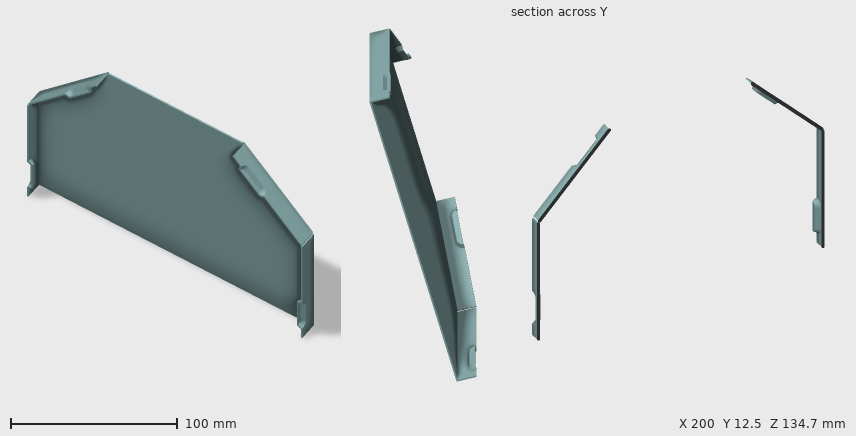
import cadquery as cq
import math

WIDTH = 200.0
HEIGHT = 134.0
DEPTH = 12.5
SHEET = 1.0
CORNER_CUT = 50.0
BEND_ZONE = 2.0

DIMPLE_SPACING = 20.0
DIMPLE_LENGTH = 23.0
DIMPLE_REACH = 4.0
DIMPLE_DEPTH = 3.0
DIMPLE_DRAFT = 30.0

HALF_WIDTH = WIDTH / 2
PANEL_FRONT = DEPTH - SHEET
SIDE_INNER_X = -HALF_WIDTH + SHEET
UNIT_45 = math.sqrt(0.5)
SHOULDER_ANGLE = math.radians(45)

SLANT_TOP = (-HALF_WIDTH + CORNER_CUT, HEIGHT)
PANEL_TOP = (SLANT_TOP[0] + SHEET / UNIT_45, HEIGHT)
RELIEF_CORNER = (
    -HALF_WIDTH + BEND_ZONE,
    HEIGHT - CORNER_CUT - BEND_ZONE * math.tan(SHOULDER_ANGLE / 2),
)


def outward(point, distance):
    """Move a point square to the left slanted flange, towards its outer face."""
    return (point[0] - distance * UNIT_45, point[1] + distance * UNIT_45)


SLANT_FOOT = outward(RELIEF_CORNER, BEND_ZONE - SHEET)


def prism(points, y_start, y_end):
    """Extrude an outline given as (X, Z) points from y_start to y_end."""
    plane = cq.Plane(origin=(0, y_start, 0), xDir=(1, 0, 0), normal=(0, -1, 0))
    return cq.Workplane(plane).polyline(points).close().extrude(y_start - y_end)


def make_panel():
    """Flat back panel with a relief notch at each shoulder."""
    side_top = (SIDE_INNER_X, RELIEF_CORNER[1])
    left = [(SIDE_INNER_X, 0), side_top, RELIEF_CORNER, SLANT_FOOT, PANEL_TOP]
    right = [(-x, z) for x, z in reversed(left)]
    return prism(left + right, PANEL_FRONT, DEPTH)


def make_side_flange():
    top = RELIEF_CORNER[1]
    outline = [(-HALF_WIDTH, 0), (-HALF_WIDTH, top), (SIDE_INNER_X, top), (SIDE_INNER_X, 0)]
    return prism(outline, 0, DEPTH)


def make_slanted_flange():
    """The strip beside the panel reaches its top edge; the flange in front stops short of it."""
    lower_end = [SLANT_FOOT, outward(SLANT_FOOT, SHEET)]
    strip = prism(lower_end + [outward(PANEL_TOP, SHEET), PANEL_TOP], PANEL_FRONT, DEPTH)
    flange = prism(lower_end + [SLANT_TOP, outward(SLANT_TOP, -SHEET)], 0, PANEL_FRONT)
    return strip.union(flange)


def drafted_slot(plane, start, growth):
    """Tapered slot starting at an offset from the plane, enlarged all round by growth."""
    length = DIMPLE_LENGTH + 2 * growth
    width = 2 * (DIMPLE_REACH + growth)
    base = cq.Workplane(plane).workplane(offset=start).slot2D(length, width)
    return base.extrude(DIMPLE_DEPTH, taper=DIMPLE_DRAFT)


def add_dimple(flange, centre, inward):
    """Press a dimple into a flange; centre (on the outer face) and inward are in (X, Z)."""
    normal = cq.Vector(inward[0], 0, inward[1])
    along = cq.Vector(0, 1, 0).cross(normal)
    plane = cq.Plane(origin=(centre[0], 0, centre[1]), xDir=along, normal=normal)
    bump = drafted_slot(plane, SHEET, SHEET)
    recess = drafted_slot(plane, 0, 0)
    behind_front_edge = cq.Workplane("XY").box(
        2 * WIDTH, DEPTH, 2 * WIDTH, centered=(True, False, True)
    )
    return flange.union(bump.intersect(behind_front_edge)).cut(recess)


def make_left_flanges():
    side = add_dimple(make_side_flange(), (-HALF_WIDTH, DIMPLE_SPACING), (1, 0))
    step = DIMPLE_SPACING * UNIT_45
    slant_centre = (SLANT_TOP[0] - step, SLANT_TOP[1] - step)
    slanted = add_dimple(make_slanted_flange(), slant_centre, (UNIT_45, -UNIT_45))
    return side.union(slanted)


left_flanges = make_left_flanges()
right_flanges = left_flanges.mirror("YZ")
result = make_panel().union(left_flanges).union(right_flanges)